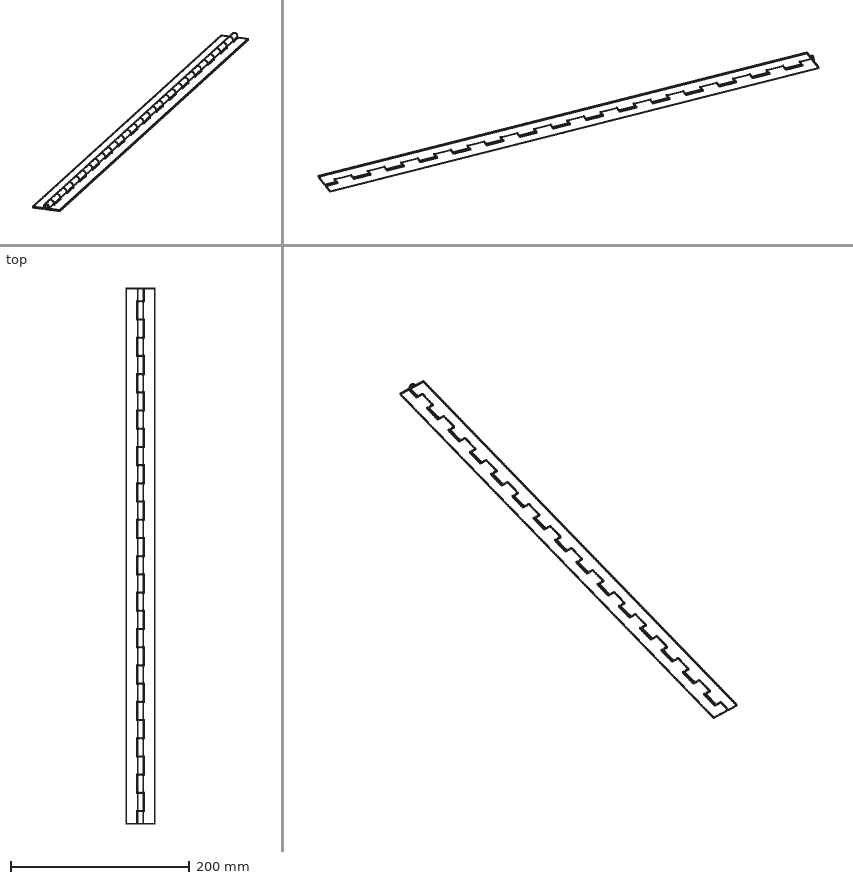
import cadquery as cq

LENGTH = 600.0
WIDTH = 32.0
BARREL_DIAMETER = 6.69
LEAF_THICKNESS = 1.6

KNUCKLE_PITCH = 20.4
KNUCKLE_GAP = 0.4
NOTCH_CLEARANCE = 0.8

BARREL_RADIUS = BARREL_DIAMETER / 2
PIN_RADIUS = BARREL_RADIUS - LEAF_THICKNESS
NOTCH_REACH = BARREL_RADIUS + NOTCH_CLEARANCE
HALF_LENGTH = LENGTH / 2
HALF_WIDTH = WIDTH / 2
JOINTS_PER_HALF = int(HALF_LENGTH // KNUCKLE_PITCH)
LEFT, RIGHT = -1, 1


def knuckle_spans():
    """Y start and end of each knuckle from -Y to +Y; the two end knuckles are shorter."""
    joints = [i * KNUCKLE_PITCH for i in range(-JOINTS_PER_HALF, JOINTS_PER_HALF + 1)]
    starts = [-HALF_LENGTH] + [y + KNUCKLE_GAP / 2 for y in joints]
    ends = [y - KNUCKLE_GAP / 2 for y in joints] + [HALF_LENGTH]
    return list(zip(starts, ends))


def cylinder_along_y(radius, start, end):
    """Solid cylinder on the pin axis, reaching from start to end in Y."""
    return (
        cq.Workplane("XZ", origin=(0, start, 0))
        .center(0, BARREL_RADIUS)
        .circle(radius)
        .extrude(start - end)
    )


def plate(side, inner, outer, start, end):
    """Flat strip between two distances from the pin axis, resting on Z = 0."""
    return (
        cq.Workplane("XY")
        .center(side * (inner + outer) / 2, (start + end) / 2)
        .rect(outer - inner, end - start)
        .extrude(LEAF_THICKNESS)
    )


def make_leaf(side, spans):
    """Leaf on one side: a plate with knuckles curled up from it around the pin."""
    leaf = plate(side, NOTCH_REACH, HALF_WIDTH, -HALF_LENGTH, HALF_LENGTH)
    for start, end in spans:
        tongue = plate(side, 0, NOTCH_REACH, start, end)
        barrel = cylinder_along_y(BARREL_RADIUS, start, end)
        leaf = leaf.union(tongue.union(barrel))
    return leaf.cut(cylinder_along_y(PIN_RADIUS, -HALF_LENGTH, HALF_LENGTH))


def make_pin():
    """Plain round pin running through every knuckle."""
    return cylinder_along_y(PIN_RADIUS, -HALF_LENGTH, HALF_LENGTH)


spans = knuckle_spans()
right_leaf = make_leaf(RIGHT, spans[0::2])
left_leaf = make_leaf(LEFT, spans[1::2])
pin = make_pin()

result = cq.Compound.makeCompound([left_leaf.val(), right_leaf.val(), pin.val()])